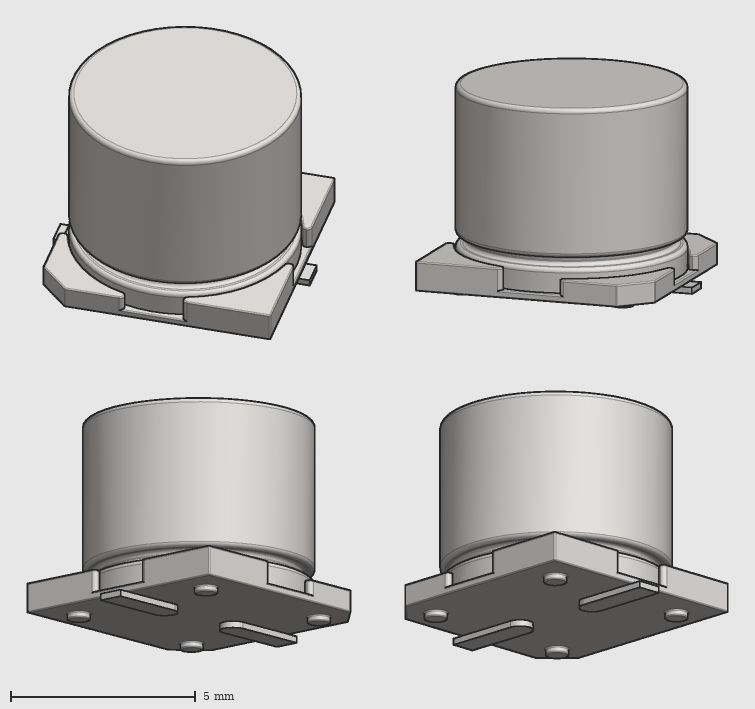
import cadquery as cq

length = 7.2
height = 5.5

seat_width = 6.6
seat_bevel = 0.82
seat_bottom = 0.18
floor_top = 0.38
low_corner_top = 0.8
high_corner_top = 1.0
recess_radius = 3.18
notch_width = 1.655
notch_round = 0.12
edge_round = 0.035

can_radius = 6.3 / 2
groove_radius = 5.67 / 2
groove_center = 1.22
groove_height = 0.27
groove_wall = 0.03
can_round = 0.13

lead_width = 0.72
lead_gap = 2.07
foot_diameter = 0.63
foot_offset = 2.305
foot_bottom_round = 0.035
foot_root_round = 0.035


def seat_prism(bottom, top):
    """Seat outline with lightly rounded upright edges, extruded between two heights."""
    prism = (
        cq.Workplane("XY")
        .workplane(offset=bottom)
        .rect(seat_width, seat_width)
        .extrude(top - bottom)
    )
    prism = prism.edges("|Z and <X").chamfer(seat_bevel)
    return prism.edges("|Z").fillet(edge_round)


def corner_blocks(side, top):
    """Two raised corners on one X side, hollowed for the can and parted by the notches."""
    bottom = (seat_bottom + floor_top) / 2
    block_height = top - bottom
    start = cq.Workplane("XY").workplane(offset=bottom)
    half_seat = seat_width / 2
    size = half_seat - notch_width / 2
    middle = half_seat - size / 2
    corners = start.pushPoints([(side * middle, -middle), (side * middle, middle)])
    blocks = corners.rect(size, size).extrude(block_height)
    recess = start.circle(recess_radius).extrude(block_height)
    blocks = blocks.intersect(seat_prism(bottom, top)).cut(recess)

    tip_reach = notch_width / 2 + edge_round
    along_y = cq.selectors.BoxSelector((-tip_reach, -length, 0), (tip_reach, length, height))
    along_x = cq.selectors.BoxSelector((-length, -tip_reach, 0), (length, tip_reach, height))
    blocks = blocks.edges("|Z").edges(along_y + along_x).fillet(notch_round)
    return blocks.faces(">Z").edges().fillet(edge_round)


def make_seat():
    floor = seat_prism(seat_bottom, floor_top).faces("<Z or >Z").edges().fillet(edge_round)
    low_corners = corner_blocks(-1, low_corner_top)
    high_corners = corner_blocks(1, high_corner_top)
    return floor.union(low_corners).union(high_corners)


def make_can():
    """Half profile turned about Z: rounded top rim and a groove with rounded lips."""
    can_bottom = (seat_bottom + floor_top) / 2
    lip_radius = can_radius - can_round
    groove_top = groove_center + groove_height / 2
    groove_bottom = groove_center - groove_height / 2
    inner_round = (groove_height - groove_wall) / 2
    inner_lip = groove_radius + inner_round
    profile = (
        cq.Workplane("XZ")
        .moveTo(0, can_bottom)
        .lineTo(can_radius, can_bottom)
        .lineTo(can_radius, groove_bottom - can_round)
        .radiusArc((lip_radius, groove_bottom), -can_round)
        .lineTo(inner_lip, groove_bottom)
        .radiusArc((groove_radius, groove_bottom + inner_round), inner_round)
        .lineTo(groove_radius, groove_top - inner_round)
        .radiusArc((inner_lip, groove_top), inner_round)
        .lineTo(lip_radius, groove_top)
        .radiusArc((can_radius, groove_top + can_round), -can_round)
        .lineTo(can_radius, height - can_round)
        .radiusArc((lip_radius, height), -can_round)
        .lineTo(0, height)
        .close()
    )
    return profile.revolve(360, (0, 0, 0), (0, 1, 0))


def make_lead(side):
    """Flat strip with a square outer end and a full-round inner end."""
    inner_center = lead_gap / 2 + lead_width / 2
    half_width = lead_width / 2
    return (
        cq.Workplane("XY")
        .moveTo(side * length / 2, -half_width)
        .lineTo(side * inner_center, -half_width)
        .threePointArc((side * lead_gap / 2, 0), (side * inner_center, half_width))
        .lineTo(side * length / 2, half_width)
        .close()
        .extrude(seat_bottom)
    )


def make_foot():
    """Round standoff on the Z axis, flared where it meets the seat."""
    radius = foot_diameter / 2
    profile = (
        cq.Workplane("XZ")
        .lineTo(radius - foot_bottom_round, 0)
        .radiusArc((radius, foot_bottom_round), -foot_bottom_round)
        .lineTo(radius, seat_bottom - foot_root_round)
        .radiusArc((radius + foot_root_round, seat_bottom), foot_root_round)
        .lineTo(0, seat_bottom)
        .close()
    )
    return profile.revolve(360, (0, 0, 0), (0, 1, 0))


result = make_seat().union(make_can())
for side in (-1, 1):
    result = result.union(make_lead(side))
    for foot_side in (-1, 1):
        foot = make_foot().translate((side * foot_offset, foot_side * foot_offset, 0))
        result = result.union(foot)